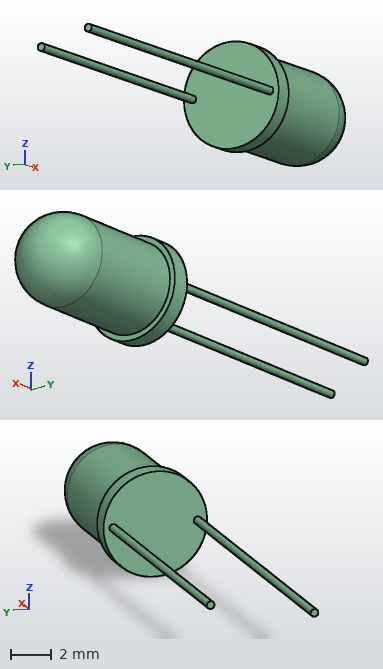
import cadquery as cq

flange_diameter = 5.4
flange_thickness = 1.0
body_diameter = 4.8
cylinder_length = 5.5
lead_diameter = 0.4
lead_offset = 2.2
long_lead_length = 18.0
short_lead_length = 15.0

flange_radius = flange_diameter / 2
body_radius = body_diameter / 2
dome_start = flange_thickness + cylinder_length
dome_tip = dome_start + body_radius


def make_housing():
    """Flange, cylinder and hemispherical dome, revolved about the X axis."""
    arc_mid_step = body_radius * 0.5 ** 0.5
    return (
        cq.Workplane("XY")
        .lineTo(0, flange_radius)
        .lineTo(flange_thickness, flange_radius)
        .lineTo(flange_thickness, body_radius)
        .lineTo(dome_start, body_radius)
        .threePointArc((dome_start + arc_mid_step, arc_mid_step), (dome_tip, 0))
        .close()
        .revolve(360, (0, 0, 0), (1, 0, 0))
    )


def make_lead(y_position, length):
    """Round lead running from the flange base toward -X."""
    return (
        cq.Workplane("YZ")
        .center(y_position, 0)
        .circle(lead_diameter / 2)
        .extrude(-length)
    )


long_lead = make_lead(-lead_offset, long_lead_length)
short_lead = make_lead(lead_offset, short_lead_length)
result = make_housing().union(long_lead).union(short_lead)